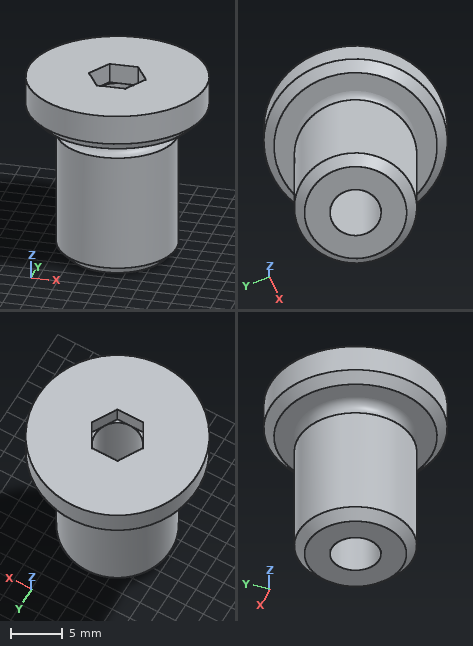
import cadquery as cq
import math

total_height = 19.0
head_diameter = 18.0
shank_diameter = 12.0
chamfer = 1.0

head_height = 4.0
groove_width = 2.0
waist_diameter = 10.2

socket_across_flats = 5.0
socket_depth = 2.0
bore_diameter = socket_across_flats

head_radius = head_diameter / 2
shank_radius = shank_diameter / 2
waist_radius = waist_diameter / 2
head_bottom = total_height - head_height
groove_middle = head_bottom - groove_width / 2
groove_bottom = head_bottom - groove_width


def turned_body():
    """Revolve the half profile of shank, groove and head about Z."""
    profile = (
        cq.Workplane("XZ")
        .moveTo(0, 0)
        .lineTo(shank_radius - chamfer, 0)
        .lineTo(shank_radius, chamfer)
        .lineTo(shank_radius, groove_bottom)
        .threePointArc((waist_radius, groove_middle), (shank_radius, head_bottom))
        .lineTo(head_radius - chamfer, head_bottom)
        .lineTo(head_radius, head_bottom + chamfer)
        .lineTo(head_radius, total_height)
        .lineTo(0, total_height)
        .close()
    )
    return profile.revolve(360, (0, 0, 0), (0, 1, 0))


def hex_socket():
    """Hexagonal prism sunk from the top face, with two corners on the X axis."""
    across_corners = socket_across_flats / math.cos(math.pi / 6)
    return (
        cq.Workplane("XY")
        .workplane(offset=total_height - socket_depth)
        .polygon(6, across_corners)
        .extrude(socket_depth)
    )


def through_bore():
    """Round bore along the full height."""
    return cq.Workplane("XY").circle(bore_diameter / 2).extrude(total_height)


result = turned_body().cut(through_bore()).cut(hex_socket())